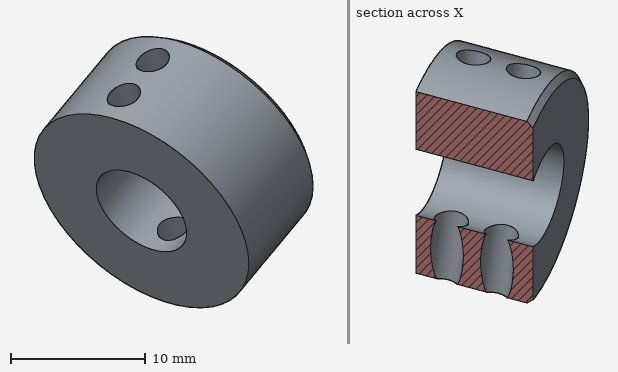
import cadquery as cq

outer_diameter = 18.99
width = 9.4
bore_diameter = 8.0
chamfer = 0.5

hole_diameter = 2.58
hole_spacing = 4.0
hole_setback = 2.9
hole_tilt = 19.5
hole_count = 2
hole_overrun = 0.19


def make_ring():
    body = cq.Workplane("XZ", origin=(0, width / 2, 0)).circle(outer_diameter / 2).extrude(width)
    body = body.faces(">Y").edges().chamfer(chamfer)
    bore = cq.Workplane("XZ", origin=(0, width / 2, 0)).circle(bore_diameter / 2).extrude(width)
    return body.cut(bore)


def make_cross_hole(y):
    half_length = outer_diameter / 2 + hole_overrun
    drill = cq.Workplane("XY").circle(hole_diameter / 2).extrude(half_length, both=True)
    return drill.rotate((0, 0, 0), (0, 1, 0), -hole_tilt).translate((0, y, 0))


result = make_ring()
first_hole_y = width / 2 - hole_setback
for index in range(hole_count):
    result = result.cut(make_cross_hole(first_hole_y - index * hole_spacing))